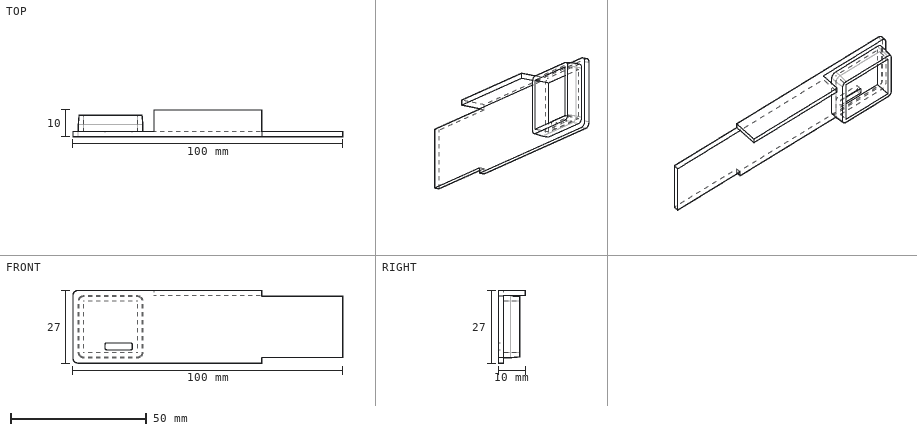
import cadquery as cq

plate_thickness = 2.0
body_length = 70.0
body_height = 27.0
tongue_length = 30.0
tongue_height = 22.8
corner_radius = 2.0

flange_start = 30.0
flange_length = body_length - flange_start
flange_depth = 10.0
flange_thickness = plate_thickness

boss_margin = 2.0
boss_length = 24.0
boss_height = body_height - 2 * boss_margin
foot_end = 4.5
boss_end = 8.0
plug_taper = 5.0

rim_wall = plate_thickness
cavity_length = boss_length - 2 * rim_wall
cavity_height = boss_height - 2 * rim_wall

slot_left = 12.0
slot_bottom = 5.0
slot_length = 10.0
slot_height = 2.5
slot_corner_radius = 0.5



def block(x, y, z, length, depth, height):
    """Box with its smallest-coordinate corner at (x, y, z)."""
    return cq.Workplane("XY").box(length, depth, height, centered=False).translate((x, y, z))


def make_plate():
    body = block(0, 0, 0, body_length, plate_thickness, body_height)
    body = body.edges("|Y and <X").fillet(corner_radius)
    tongue_bottom = (body_height - tongue_height) / 2
    tongue = block(body_length, 0, tongue_bottom, tongue_length, plate_thickness, tongue_height)
    return body.union(tongue)


def make_flange():
    return block(
        flange_start, 0, body_height - flange_thickness, flange_length, flange_depth, flange_thickness
    )


def make_boss():
    foot = block(
        boss_margin, plate_thickness, boss_margin, boss_length, foot_end - plate_thickness, boss_height
    )
    foot = foot.edges("|Y").fillet(corner_radius)
    foot_outline = foot.faces(">Y").wires().toPending().workplane()
    return foot_outline.extrude(boss_end - foot_end, taper=plug_taper)


def make_cavity():
    corner = boss_margin + rim_wall
    return block(
        corner, plate_thickness, corner, cavity_length, boss_end - plate_thickness, cavity_height
    )


def make_slot():
    slot = block(slot_left, 0, slot_bottom, slot_length, plate_thickness, slot_height)
    return slot.edges("|Y").fillet(slot_corner_radius)


plate = make_plate().union(make_flange())
result = plate.union(make_boss()).cut(make_cavity()).cut(make_slot())